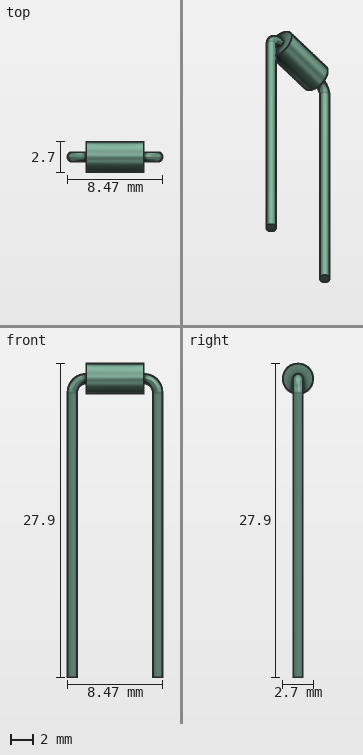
import cadquery as cq

overall_height = 27.95
overall_width = 8.47
body_diameter = 2.7
body_length = 5.15
lead_diameter = 0.87

body_axis_height = overall_height - body_diameter / 2
lead_offset = (overall_width - lead_diameter) / 2
bend_radius = lead_offset - body_length / 2
straight_length = body_axis_height - bend_radius


def make_body():
    """Cylindrical component body lying along X."""
    return (
        cq.Workplane("YZ", origin=(-body_length / 2, 0, body_axis_height))
        .circle(body_diameter / 2)
        .extrude(body_length)
    )


def make_lead(side):
    """Round wire rising straight, then bending inward to the body end face (side is -1 or 1)."""
    tip = (side * lead_offset, 0, 0)
    straight = cq.Workplane("XY", origin=tip).circle(lead_diameter / 2).extrude(straight_length)

    bend = (
        cq.Workplane("XY", origin=(side * lead_offset, 0, straight_length))
        .circle(lead_diameter / 2)
        .revolve(90, (-side * bend_radius, 0, 0), (-side * bend_radius, -side, 0))
    )
    return straight.union(bend)


body = make_body()
leads = [make_lead(side) for side in (-1, 1)]

result = cq.Compound.makeCompound([body.val(), *[lead.val() for lead in leads]])